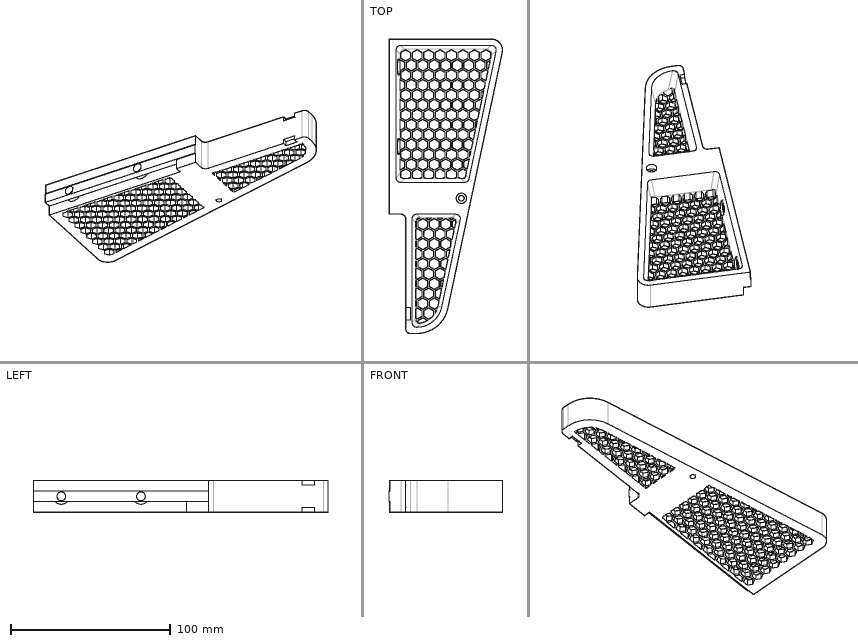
import cadquery as cq
import math


LENGTH = 185.0
HEIGHT = 20.0
OVERALL_WIDTH = 71.37
RIB_DEPTH = 0.5
BODY_WIDTH = OVERALL_WIDTH - RIB_DEPTH
ARM_X = 10.0
STEP_Y = -110.0
SMALL_RADIUS = 3.0
BACK_RADIUS = 7.0
TIP_RADIUS = 20.0
SLANT_ANGLE = math.radians(12.0)

WALL = 4.0
BAR_BACK_Y = -90.0
FLOOR = 4.0
DRAFT_ANGLE = 10.0
DRAFT_INSET = (HEIGHT - FLOOR) * math.tan(math.radians(DRAFT_ANGLE))
POCKET_RADIUS = SMALL_RADIUS
FLOOR_RADIUS = 3.0

HEX_PITCH = 7.2
HEX_WALL = 1.2
HEX_INSET = 2.5
HEX_RADIUS = (HEX_PITCH - HEX_WALL) / math.sqrt(3)
HEX_ROW_STEP = HEX_PITCH * math.sqrt(3) / 2
HEX_START_X = 10.0
HEX_START_Y = -10.25

RIB_WIDTH = 6.5
RIB_BOTTOM = (HEIGHT - RIB_WIDTH) / 2
RELIEF_DEPTH = 4.4
RELIEF_LENGTH = 96.0

SIDE_HOLE_YS = (-17.5, -67.5)
SIDE_HOLE_DIAMETER = 5.5
SIDE_BORE_DIAMETER = 10.0
SIDE_BORE_X = 5.0
SIDE_BORE_END_X = WALL + DRAFT_INSET + 1.0

SCREW_X = 45.0
SCREW_Y = (BAR_BACK_Y + STEP_Y) / 2
SCREW_DIAMETER = 3.4
SCREW_HEAD_DIAMETER = 6.5
SCREW_HEAD_DEPTH = 4.0

NOTCH_WIDTH = 8.0
NOTCH_BACK_Y = -168.5
NOTCH_HEIGHT = 3.0
NOTCH_DEPTH = 3.0

NORMAL_X = math.cos(SLANT_ANGLE)
NORMAL_Y = -math.sin(SLANT_ANGLE)
BACK_CENTRE = (BODY_WIDTH - BACK_RADIUS, -BACK_RADIUS)
SLANT_OFFSET = BACK_CENTRE[0] * NORMAL_X + BACK_CENTRE[1] * NORMAL_Y + BACK_RADIUS
TIP_CENTRE_Y = TIP_RADIUS - LENGTH
TIP_CENTRE_X = (SLANT_OFFSET - TIP_RADIUS - TIP_CENTRE_Y * NORMAL_Y) / NORMAL_X
TIP_CENTRE = (TIP_CENTRE_X, TIP_CENTRE_Y)
BACK_MID_ANGLE = (math.pi / 2 - SLANT_ANGLE) / 2
TIP_MID_ANGLE = -(math.pi / 2 + SLANT_ANGLE) / 2


def on_arc(centre, radius, angle):
    return centre[0] + radius * math.cos(angle), centre[1] + radius * math.sin(angle)


def slant_x(y, inset):
    """X of the slanted side at a given Y, with the side moved inward by inset."""
    return (SLANT_OFFSET - inset - y * NORMAL_Y) / NORMAL_X


def box(x_range, y_range, z_range):
    (x0, x1), (y0, y1), (z0, z1) = x_range, y_range, z_range
    return cq.Workplane("XY", origin=(x0, y0, z0)).box(x1 - x0, y1 - y0, z1 - z0, centered=False)


def fillet_near(solid, points, radius):
    """Round the edges of solid whose centres lie nearest to the given points."""
    edges = [solid.edges(cq.selectors.NearestToPointSelector(point)).val() for point in points]
    return solid.newObject(edges).fillet(radius)


def outer_body():
    body = (
        cq.Workplane("XY")
        .lineTo(BACK_CENTRE[0], 0)
        .threePointArc(
            on_arc(BACK_CENTRE, BACK_RADIUS, BACK_MID_ANGLE),
            on_arc(BACK_CENTRE, BACK_RADIUS, -SLANT_ANGLE),
        )
        .lineTo(*on_arc(TIP_CENTRE, TIP_RADIUS, -SLANT_ANGLE))
        .threePointArc(on_arc(TIP_CENTRE, TIP_RADIUS, TIP_MID_ANGLE), (TIP_CENTRE_X, -LENGTH))
        .lineTo(ARM_X, -LENGTH)
        .lineTo(ARM_X, STEP_Y)
        .lineTo(0, STEP_Y)
        .close()
        .extrude(HEIGHT)
    )
    corners = [(ARM_X, y, HEIGHT / 2) for y in (STEP_Y, -LENGTH)]
    return fillet_near(body, corners, SMALL_RADIUS)


def left_rib():
    return box((-RIB_DEPTH, 0), (STEP_Y, 0), (RIB_BOTTOM, RIB_BOTTOM + RIB_WIDTH))


def left_relief():
    return box((-RIB_DEPTH, RELIEF_DEPTH), (-RELIEF_LENGTH, 0), (0, RIB_BOTTOM))


def back_outline(inset):
    """Outline behind the cross bar, moved inward by inset from the top edge of the pocket."""
    edge = WALL + inset
    front_y = BAR_BACK_Y + inset
    return (
        cq.Workplane("XY")
        .moveTo(edge, -edge)
        .lineTo(slant_x(-edge, edge), -edge)
        .lineTo(slant_x(front_y, edge), front_y)
        .lineTo(edge, front_y)
        .close()
    )


def arm_outline(inset):
    """Outline in the arm, moved inward by inset from the top edge of the pocket."""
    edge = WALL + inset
    back_y = STEP_Y - inset
    radius = TIP_RADIUS - edge
    return (
        cq.Workplane("XY")
        .moveTo(ARM_X + edge, back_y)
        .lineTo(slant_x(back_y, edge), back_y)
        .lineTo(*on_arc(TIP_CENTRE, radius, -SLANT_ANGLE))
        .threePointArc(on_arc(TIP_CENTRE, radius, TIP_MID_ANGLE), (TIP_CENTRE_X, edge - LENGTH))
        .lineTo(ARM_X + edge, edge - LENGTH)
        .close()
    )


def drafted_pocket(outline, corner_xys):
    """Pocket narrowing from the top face to the floor, with rounded corners and floor edge."""
    pocket = outline(0).extrude(FLOOR - HEIGHT, taper=DRAFT_ANGLE).translate((0, 0, HEIGHT))
    corners = [(x, y, (HEIGHT + FLOOR) / 2) for x, y in corner_xys]
    pocket = fillet_near(pocket, corners, POCKET_RADIUS)
    return pocket.faces("<Z").edges().fillet(FLOOR_RADIUS)


def back_pocket():
    edge = WALL + DRAFT_INSET / 2
    corner_ys = (-edge, BAR_BACK_Y + DRAFT_INSET / 2)
    return drafted_pocket(back_outline, [(x, y) for y in corner_ys for x in (edge, slant_x(y, edge))])


def arm_pocket():
    edge = WALL + DRAFT_INSET / 2
    left_x = ARM_X + edge
    back_y = STEP_Y - DRAFT_INSET / 2
    corner_xys = [(left_x, back_y), (slant_x(back_y, edge), back_y), (left_x, edge - LENGTH)]
    return drafted_pocket(arm_outline, corner_xys)


def hex_centres(left_x, back_y, front_y):
    """Centres of the honeycomb cells that reach the area bounded by three sides and the slant."""
    centres = []
    for row in range(math.ceil(LENGTH / HEX_ROW_STEP)):
        y = HEX_START_Y - row * HEX_ROW_STEP
        if not front_y - HEX_RADIUS < y < back_y + HEX_RADIUS:
            continue
        x = HEX_START_X + (row % 2 - 2) * HEX_PITCH / 2
        while x < slant_x(y, 0):
            if x > left_x - HEX_RADIUS:
                centres.append((x, y))
            x += HEX_PITCH
    return centres


def honeycomb(outline, centres):
    """Hexagonal openings through the floor, trimmed to the outline inset from the pocket edge."""
    height = FLOOR + FLOOR_RADIUS
    hexagon = cq.Sketch().regularPolygon(HEX_RADIUS, 6)
    cells = cq.Workplane("XY").pushPoints(centres).placeSketch(hexagon).extrude(height)
    return cells.intersect(outline(HEX_INSET).extrude(height))


def side_holes():
    holes = cq.Workplane("YZ")
    for start_x, diameter in ((-RIB_DEPTH, SIDE_HOLE_DIAMETER), (SIDE_BORE_X, SIDE_BORE_DIAMETER)):
        centres = [(y, HEIGHT / 2) for y in SIDE_HOLE_YS]
        plane = cq.Workplane("YZ", origin=(start_x, 0, 0))
        holes = holes.add(plane.pushPoints(centres).circle(diameter / 2).extrude(SIDE_BORE_END_X - start_x))
    return holes.combine()


def screw_hole(body):
    return (
        body.faces(">Z")
        .workplane(origin=(SCREW_X, SCREW_Y, HEIGHT))
        .cboreHole(SCREW_DIAMETER, SCREW_HEAD_DIAMETER, SCREW_HEAD_DEPTH)
    )


def arm_notch(bottom_z):
    return box(
        (ARM_X, ARM_X + NOTCH_DEPTH),
        (NOTCH_BACK_Y - NOTCH_WIDTH, NOTCH_BACK_Y),
        (bottom_z, bottom_z + NOTCH_HEIGHT),
    )


result = outer_body().union(left_rib()).cut(left_relief())
result = screw_hole(result)

back_cells = hex_centres(WALL, -WALL, BAR_BACK_Y)
arm_cells = hex_centres(ARM_X + WALL, STEP_Y, WALL - LENGTH)
result = result.cut(back_pocket()).cut(honeycomb(back_outline, back_cells))
result = result.cut(arm_pocket()).cut(honeycomb(arm_outline, arm_cells))

result = result.cut(side_holes())
for notch_z in (0, HEIGHT - NOTCH_HEIGHT):
    result = result.cut(arm_notch(notch_z))